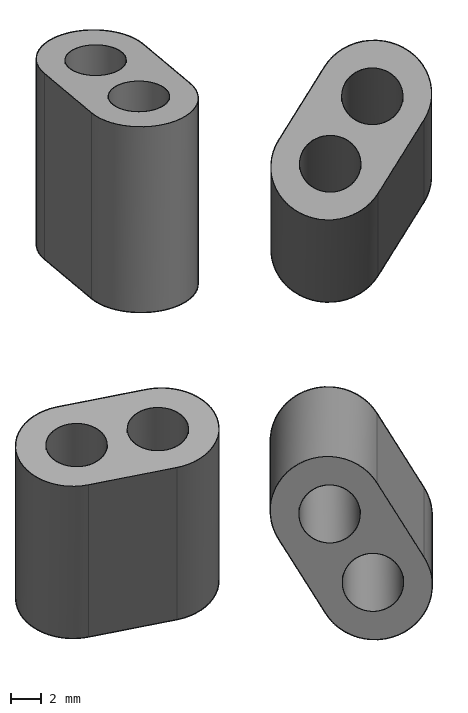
import cadquery as cq

length = 13.5
width = 7.5
height = 14.0

bore_diameter = 4.0
bore_spacing = 5.5

body = cq.Workplane("XY").slot2D(length, width).extrude(height)

bore_centres = [(-bore_spacing / 2, 0), (bore_spacing / 2, 0)]
result = body.faces(">Z").workplane().pushPoints(bore_centres).hole(bore_diameter)